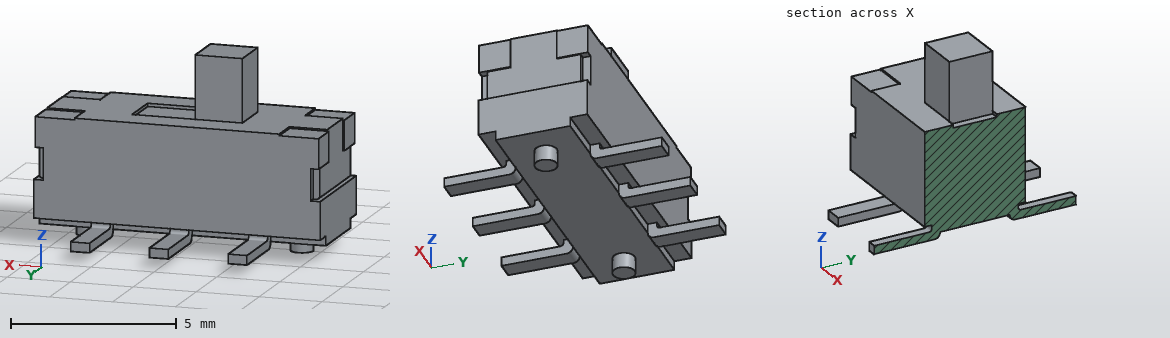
import cadquery as cq


base_length = 9.1
body_width = 3.5
base_width = 2.4
base_step_height = 0.3
ledge_height = 1.5
corner_underside = 2.5
body_height = 3.5
core_length = 8.5

corner_span = 9.0
corner_inner_span = 6.5
corner_top = 3.45
corner_gap = 1.5

tab_span = 8.9
tab_width = 3.0
tab_edge_radius = 0.1

window_length = 3.5
window_width = 1.5
window_depth = 0.1
knob_length = 1.5
knob_height = 2.0

lead_pitch = 2.5
lead_width = 0.6
lead_thickness = 0.3
lead_tip_span = 7.0
lead_bottom = -0.2
bend_inner_radius = 0.1
bend_outer_radius = 0.2

peg_diameter = 0.7
peg_length = 0.5
peg_spacing = 6.8


def block(length, width, bottom, top):
    """Box centred on the Z axis between two heights."""
    return cq.Workplane("XY").workplane(offset=bottom).rect(length, width).extrude(top - bottom)


def make_housing():
    """Stepped base, narrower core and the full-width top."""
    housing = block(base_length, base_width, 0, base_step_height)
    housing = housing.union(block(base_length, body_width, base_step_height, ledge_height))
    housing = housing.union(block(core_length, body_width, ledge_height, corner_underside))
    return housing.union(block(corner_span, body_width, corner_underside, body_height))


def corner_cutter():
    """Volume above the four corner blocks, down to their top faces."""
    length = (base_length - corner_inner_span) / 2
    width = (body_width - corner_gap) / 2
    height = body_height - corner_top
    return (
        cq.Workplane("XY")
        .workplane(offset=corner_top)
        .rect(corner_inner_span + length, corner_gap + width, forConstruction=True)
        .vertices()
        .rect(length, width)
        .extrude(height)
    )


def end_trim():
    """Volume outside the end tabs, between the corner blocks."""
    outer = block(base_length, corner_gap, corner_underside, body_height)
    return outer.cut(block(tab_span, corner_gap, corner_underside, body_height))


def make_tabs():
    """Both end tabs, with rounded lower edges, joined through the core."""
    tabs = block(tab_span, tab_width, ledge_height, corner_underside)
    return tabs.faces("<Z").edges("|Y").fillet(tab_edge_radius)


def make_knob():
    """Slider pushed against the -X end of its window."""
    bottom = body_height - window_depth
    center_x = (knob_length - window_length) / 2
    return block(knob_length, window_width, bottom, body_height + knob_height).translate((center_x, 0, 0))


def make_lead(side):
    """Gull-wing lead at X = 0, pointing to +Y (side = 1) or -Y (side = -1)."""
    leg_inner = base_width / 2
    leg_outer = leg_inner + lead_thickness
    lead_top = lead_bottom + lead_thickness
    tip = lead_tip_span / 2
    profile = (
        cq.Workplane("YZ", origin=(-lead_width / 2, 0, 0))
        .moveTo(side * leg_inner, base_step_height)
        .lineTo(side * leg_inner, lead_bottom + bend_outer_radius)
        .radiusArc((side * (leg_inner + bend_outer_radius), lead_bottom), -side * bend_outer_radius)
        .lineTo(side * tip, lead_bottom)
        .lineTo(side * tip, lead_top)
        .lineTo(side * (leg_outer + bend_inner_radius), lead_top)
        .radiusArc((side * leg_outer, lead_top + bend_inner_radius), side * bend_inner_radius)
        .lineTo(side * leg_outer, base_step_height)
        .close()
    )
    return profile.extrude(lead_width)


def make_pegs():
    """Round locating pegs under the base."""
    return (
        cq.Workplane("XY")
        .pushPoints([(-peg_spacing / 2, 0), (peg_spacing / 2, 0)])
        .circle(peg_diameter / 2)
        .extrude(-peg_length)
    )


result = make_housing().cut(corner_cutter()).cut(end_trim()).union(make_tabs())
result = result.cut(block(window_length, window_width, body_height - window_depth, body_height))
result = result.union(make_knob()).union(make_pegs())
for position in (-1, 0, 1):
    for side in (-1, 1):
        result = result.union(make_lead(side).translate((position * lead_pitch, 0, 0)))